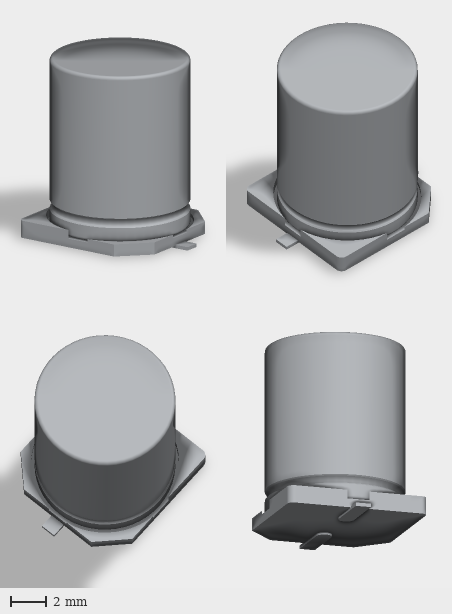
import cadquery as cq
import math

total_height = 10.5
lead_span = 10.0

base_width = 8.3
base_bottom = 0.13
high_corner_top = 1.14
low_corner_top = 0.84
corner_radius = 0.38
corner_chamfer = 1.65

seat_radius = 4.2
seat_floor = 0.64

can_radius = 4.0
can_edge_radius = 0.2
groove_bottom = 1.55
groove_top = 2.11
groove_depth = 0.2
groove_lip = 0.07

lead_width = 0.9
lead_thickness = 0.2
lead_inner_end = 1.53


def make_base():
    """Square plate, two corners rounded and two chamfered, with a round seat."""
    plate_height = high_corner_top - base_bottom
    plate = (
        cq.Workplane("XY", origin=(0, 0, base_bottom))
        .rect(base_width, base_width)
        .extrude(plate_height)
        .edges("|Z and <X").fillet(corner_radius)
        .edges("|Z and >X").chamfer(corner_chamfer)
    )
    step_x = -math.sqrt(seat_radius**2 - (base_width / 2) ** 2)
    lowering = (
        cq.Workplane("XY", origin=(step_x, 0, low_corner_top))
        .rect(base_width, base_width)
        .extrude(plate_height)
        .translate((base_width / 2, 0, 0))
    )
    seat = (
        cq.Workplane("XY", origin=(0, 0, seat_floor))
        .circle(seat_radius)
        .extrude(plate_height)
    )
    return plate.cut(lowering).cut(seat)


def make_can():
    """Can with rounded end edges and a rolled groove near its foot."""
    flat_radius = can_radius - can_edge_radius
    arc_offset = can_edge_radius * math.sqrt(0.5)
    arc_radius = flat_radius + arc_offset
    foot_arc_center = seat_floor + can_edge_radius
    top_arc_center = total_height - can_edge_radius
    groove_middle = (groove_bottom + groove_top) / 2
    lip_radius = can_radius - groove_lip
    profile = (
        cq.Workplane("XZ")
        .moveTo(0, seat_floor)
        .lineTo(flat_radius, seat_floor)
        .threePointArc((arc_radius, foot_arc_center - arc_offset), (can_radius, foot_arc_center))
        .lineTo(can_radius, groove_bottom)
        .lineTo(lip_radius, groove_bottom + groove_lip)
        .threePointArc((can_radius - groove_depth, groove_middle), (lip_radius, groove_top - groove_lip))
        .lineTo(can_radius, groove_top)
        .lineTo(can_radius, top_arc_center)
        .threePointArc((arc_radius, top_arc_center + arc_offset), (flat_radius, total_height))
        .lineTo(0, total_height)
        .close()
    )
    return profile.revolve(360, (0, 0, 0), (0, 1, 0))


def make_lead(side):
    """Flat lead with a rounded inner end; side is -1 or +1 along X."""
    half_width = lead_width / 2
    outer_x = side * lead_span / 2
    inner_x = side * lead_inner_end
    arc_start_x = side * (lead_inner_end + half_width)
    return (
        cq.Workplane("XY")
        .moveTo(outer_x, -half_width)
        .lineTo(arc_start_x, -half_width)
        .threePointArc((inner_x, 0), (arc_start_x, half_width))
        .lineTo(outer_x, half_width)
        .close()
        .extrude(lead_thickness)
    )


result = make_base().union(make_can())
for lead_side in (-1, 1):
    result = result.union(make_lead(lead_side))